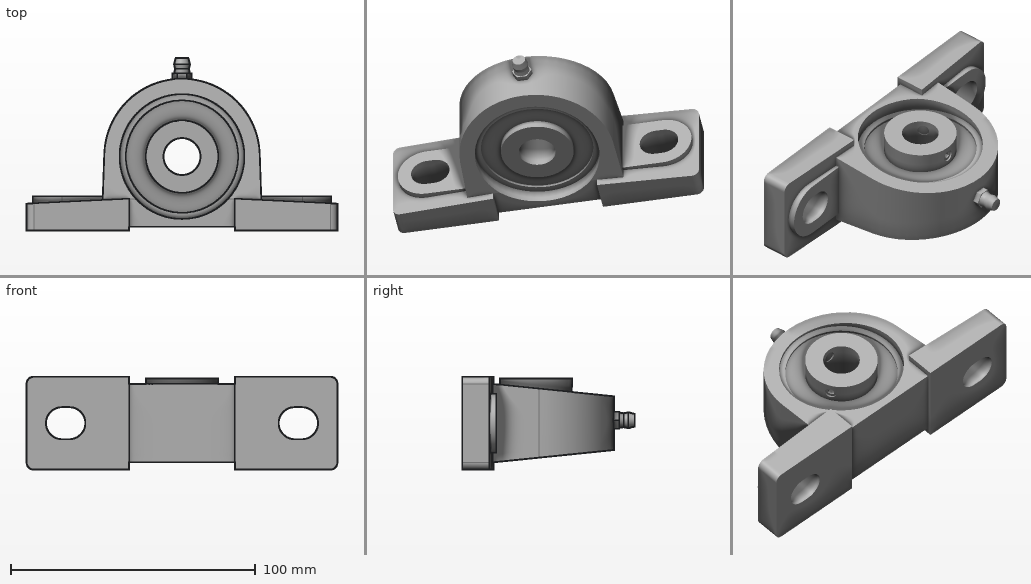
import cadquery as cq
import math


shaft_height = 30.2
overall_length = 127.0
foot_width = 38.0
foot_gap = 43.2
foot_end_thickness = 11.0
foot_inner_thickness = 13.0
foot_corner_radius = 3.0
bolt_spacing = 95.0
slot_length = 16.0
slot_width = 13.0
pad_radius = 12.0
pad_height = 14.0

arch_radius = 31.8
side_draft = 2.0
body_base_width = 32.0
body_top_width = 22.0
underside_relief = 1.5

fitting_z = 1.2
fitting_hex_flats = 7.0
fitting_hex_top = 34.0
fitting_waist_y = 35.8
fitting_bead_y = 37.7
fitting_tip_y = 40.3
fitting_neck_radius = 3.2
fitting_waist_radius = 2.9
fitting_bead_radius = 3.3
fitting_tip_radius = 2.6
fitting_embed = 2.0

bearing_diameter = 51.0
bearing_width = 21.0
seal_diameter = 45.9
seal_recess = 1.0
inner_ring_diameter = 29.6
bore_diameter = 15.0
inner_ring_top = 18.3
inner_ring_bottom = -12.7
screw_diameter = 4.75
screw_inset = 4.5
screw_angles = (90.0, 210.0)
screw_outer_end = 14.1
screw_inner_end = 7.9
socket_flats = 2.5
socket_depth = 2.5

foot_bottom_y = -shaft_height
foot_end_y = foot_bottom_y + foot_end_thickness
foot_inner_y = foot_bottom_y + foot_inner_thickness
foot_inner_x = foot_gap / 2
foot_end_x = overall_length / 2
pad_top_y = foot_bottom_y + pad_height
body_bottom_y = foot_bottom_y + underside_relief
bolt_x = bolt_spacing / 2
pad_centre_x = bolt_x + (slot_length - slot_width) / 2
draft = math.radians(side_draft)


def side_x(y):
    """Half width of the body at height y, on the straight side tangent to the arch."""
    return (arch_radius - y * math.sin(draft)) / math.cos(draft)


def hex_diameter(flats):
    """Across-corners size of a hexagon."""
    return flats / math.cos(math.pi / 6)


def make_body():
    tangent_x = arch_radius * math.cos(draft)
    tangent_y = arch_radius * math.sin(draft)
    arch = (
        cq.Workplane("XY")
        .moveTo(foot_inner_x, body_bottom_y)
        .lineTo(foot_inner_x, foot_end_y)
        .lineTo(side_x(foot_end_y), foot_end_y)
        .lineTo(tangent_x, tangent_y)
        .threePointArc((0, arch_radius), (-tangent_x, tangent_y))
        .lineTo(-side_x(foot_end_y), foot_end_y)
        .lineTo(-foot_inner_x, foot_end_y)
        .lineTo(-foot_inner_x, body_bottom_y)
        .close()
        .extrude(body_base_width / 2, both=True)
    )
    side_profile = (
        cq.Workplane("YZ")
        .polyline([
            (body_bottom_y, -body_base_width / 2),
            (foot_inner_y, -body_base_width / 2),
            (arch_radius, -body_top_width / 2),
            (arch_radius, body_top_width / 2),
            (foot_inner_y, body_base_width / 2),
            (body_bottom_y, body_base_width / 2),
        ])
        .close()
        .extrude(overall_length / 2, both=True)
    )
    return arch.intersect(side_profile)


def make_foot(side):
    """One foot; side is +1 for the +X foot and -1 for the -X foot."""
    foot = (
        cq.Workplane("XY")
        .polyline([
            (side * foot_inner_x, foot_bottom_y),
            (side * foot_end_x, foot_bottom_y),
            (side * foot_end_x, foot_end_y),
            (side * foot_inner_x, foot_inner_y),
        ])
        .close()
        .extrude(foot_width / 2, both=True)
    )
    outer_face = ">X" if side > 0 else "<X"
    return foot.faces(outer_face).edges("|Y").fillet(foot_corner_radius)


def make_pad(side):
    """Raised bolt pad, round at its outer end and running inwards into the body."""
    round_end = (
        cq.Workplane("XZ", origin=(0, pad_top_y, 0))
        .center(side * pad_centre_x, 0)
        .circle(pad_radius)
        .extrude(pad_height)
    )
    straight_length = pad_centre_x - foot_inner_x
    straight = (
        cq.Workplane("XZ", origin=(0, pad_top_y, 0))
        .center(side * (pad_centre_x + foot_inner_x) / 2, 0)
        .rect(straight_length, 2 * pad_radius)
        .extrude(pad_height)
    )
    return round_end.union(straight)


def make_bolt_slot(side):
    return (
        cq.Workplane("XZ", origin=(0, pad_top_y, 0))
        .center(side * bolt_x, 0)
        .slot2D(slot_length, slot_width)
        .extrude(pad_height)
    )


def make_grease_fitting():
    hexagon = (
        cq.Workplane("XZ", origin=(0, fitting_hex_top, fitting_z))
        .polygon(6, hex_diameter(fitting_hex_flats))
        .extrude(fitting_hex_top - arch_radius + fitting_embed)
    )
    nipple = (
        cq.Workplane("XY", origin=(0, 0, fitting_z))
        .polyline([
            (0, fitting_hex_top),
            (fitting_neck_radius, fitting_hex_top),
            (fitting_waist_radius, fitting_waist_y),
            (fitting_bead_radius, fitting_bead_y),
            (fitting_tip_radius, fitting_tip_y),
            (0, fitting_tip_y),
        ])
        .close()
        .revolve(360, (0, 0, 0), (0, 1, 0))
    )
    return hexagon.union(nipple)


def make_housing():
    housing = make_body()
    for side in (-1, 1):
        housing = housing.union(make_foot(side)).union(make_pad(side))
    for side in (-1, 1):
        housing = housing.cut(make_bolt_slot(side))
    housing = housing.union(make_grease_fitting())
    bearing_seat = (
        cq.Workplane("XY")
        .circle(bearing_diameter / 2)
        .extrude(foot_width / 2, both=True)
    )
    return housing.cut(bearing_seat)


def screw_cut(angle):
    """Recesses that leave a flat-ended socket set screw in the wall of the inner ring."""
    direction = cq.Vector(math.cos(math.radians(angle)), math.sin(math.radians(angle)), 0)
    screw_z = inner_ring_top - screw_inset

    def radial_plane(distance):
        origin = direction * distance + cq.Vector(0, 0, screw_z)
        return cq.Plane(origin=origin, xDir=(0, 0, 1), normal=direction)

    outer_recess = (
        cq.Workplane(radial_plane(screw_outer_end))
        .circle(screw_diameter / 2)
        .extrude(inner_ring_diameter / 2 - screw_outer_end)
    )
    socket = (
        cq.Workplane(radial_plane(screw_outer_end))
        .polygon(6, hex_diameter(socket_flats))
        .extrude(-socket_depth)
    )
    inner_recess = (
        cq.Workplane(radial_plane(0))
        .circle(screw_diameter / 2)
        .extrude(screw_inner_end)
    )
    return outer_recess.union(socket).union(inner_recess)


def make_bearing():
    bearing = (
        cq.Workplane("XY")
        .circle(bearing_diameter / 2)
        .extrude(bearing_width / 2, both=True)
    )
    seal_half_width = bearing_width / 2 - seal_recess
    for side in (-1, 1):
        recess = (
            cq.Workplane("XY", origin=(0, 0, side * seal_half_width))
            .circle(seal_diameter / 2)
            .extrude(side * seal_recess)
        )
        bearing = bearing.cut(recess)
    inner_ring_length = inner_ring_top - inner_ring_bottom
    inner_ring = (
        cq.Workplane("XY", origin=(0, 0, inner_ring_bottom))
        .circle(inner_ring_diameter / 2)
        .extrude(inner_ring_length)
    )
    bore = (
        cq.Workplane("XY", origin=(0, 0, inner_ring_bottom))
        .circle(bore_diameter / 2)
        .extrude(inner_ring_length)
    )
    bearing = bearing.union(inner_ring).cut(bore)
    for angle in screw_angles:
        bearing = bearing.cut(screw_cut(angle))
    return bearing


housing = make_housing()
bearing = make_bearing()

result = cq.Compound.makeCompound([housing.val(), bearing.val()])